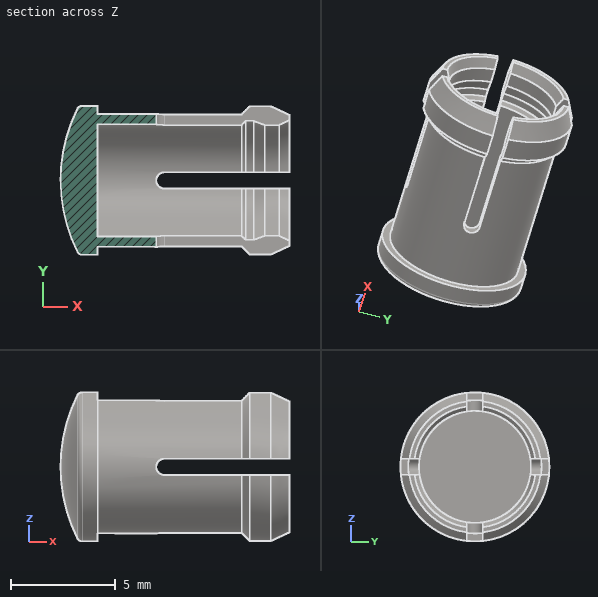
import cadquery as cq
import math

INCH = 25.4

overall_length = 0.43 * INCH
head_radius = 0.14 * INCH
dome_radius = 0.30 * INCH
rim_fillet = 0.01 * INCH
shoulder_x = 0.07 * INCH
shank_radius = 0.125 * INCH
wall = 0.02 * INCH
bore_floor_x = shoulder_x

barb_x = 0.34 * INCH
barb_radius = head_radius
barb_land_end_x = 0.395 * INCH
lead_in_angle = math.radians(25)

groove_depth = 0.0075 * INCH
groove_floor_length = 0.015 * INCH
groove_exit_angle = math.radians(20)
mouth_angle = math.radians(25)
tip_thickness = 0.0095 * INCH

slot_width = 0.03 * INCH
slot_root_x = 0.18 * INCH

bore_radius = shank_radius - wall
barb_height = barb_radius - shank_radius
tip_radius = barb_radius - (overall_length - barb_land_end_x) * math.tan(lead_in_angle)
mouth_radius = tip_radius - tip_thickness


def make_head():
    """Solid head: spherical dome blended into a cylindrical rim by a tangent fillet."""
    fillet_r = head_radius - rim_fillet
    tangent_angle = math.asin(fillet_r / (dome_radius - rim_fillet))
    fillet_x = dome_radius - (dome_radius - rim_fillet) * math.cos(tangent_angle)

    def dome_point(angle):
        return (dome_radius * (1 - math.cos(angle)), dome_radius * math.sin(angle))

    middle_angle = (tangent_angle + math.pi / 2) / 2
    fillet_middle = (
        fillet_x - rim_fillet * math.cos(middle_angle),
        fillet_r + rim_fillet * math.sin(middle_angle),
    )
    profile = (
        cq.Workplane("XY")
        .moveTo(0, 0)
        .threePointArc(dome_point(tangent_angle / 2), dome_point(tangent_angle))
        .threePointArc(fillet_middle, (fillet_x, head_radius))
        .lineTo(shoulder_x, head_radius)
        .lineTo(shoulder_x, 0)
        .close()
    )
    return profile.revolve(360, (0, 0, 0), (1, 0, 0))


def make_shank():
    """Hollow shank with the outer barb, the inner relief groove and the flared mouth."""
    groove_radius = bore_radius + groove_depth
    groove_floor_x = barb_x + groove_depth
    groove_exit_x = groove_floor_x + groove_floor_length
    groove_end_x = groove_exit_x + groove_depth / math.tan(groove_exit_angle)
    mouth_x = overall_length - (mouth_radius - bore_radius) / math.tan(mouth_angle)

    profile = (
        cq.Workplane("XY")
        .moveTo(bore_floor_x, bore_radius)
        .lineTo(bore_floor_x, shank_radius)
        .lineTo(barb_x, shank_radius)
        .lineTo(barb_x + barb_height, barb_radius)
        .lineTo(barb_land_end_x, barb_radius)
        .lineTo(overall_length, tip_radius)
        .lineTo(overall_length, mouth_radius)
        .lineTo(mouth_x, bore_radius)
        .lineTo(groove_end_x, bore_radius)
        .lineTo(groove_exit_x, groove_radius)
        .lineTo(groove_floor_x, groove_radius)
        .lineTo(barb_x, bore_radius)
        .close()
    )
    return profile.revolve(360, (0, 0, 0), (1, 0, 0))


def make_slot(plane):
    """Round-rooted slot open at the finger tips, cutting straight through both walls."""
    half_width = slot_width / 2
    profile = (
        cq.Workplane(plane)
        .moveTo(overall_length, -half_width)
        .lineTo(slot_root_x + half_width, -half_width)
        .threePointArc((slot_root_x, 0), (slot_root_x + half_width, half_width))
        .lineTo(overall_length, half_width)
        .close()
    )
    return profile.extrude(head_radius, both=True)


result = make_head().union(make_shank())
for slot_plane in ("XY", "XZ"):
    result = result.cut(make_slot(slot_plane))